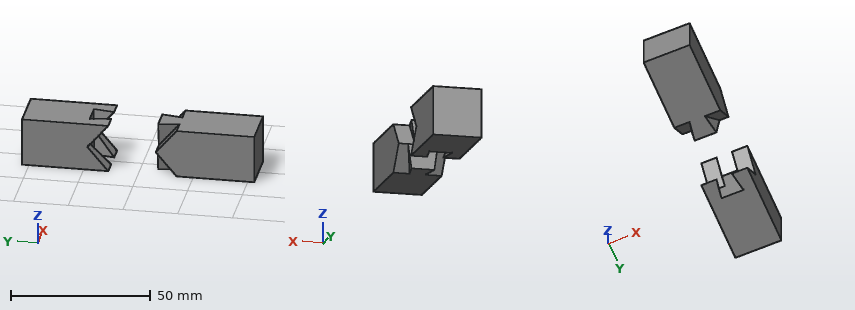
import cadquery as cq

side = 18.0
total_length = 84.9
tenon_length = 36.0
gap = 17.3
head_depth = 7.65
neck_width = 5.95
tail_width = 8.5

lower_ridge_width = 2 * tail_width - neck_width

half_side = side / 2
back_y = -total_length / 2
front_y = total_length / 2
tip_y = back_y + tenon_length
mouth_y = tip_y + gap
socket_end_y = mouth_y + head_depth


def pointed_block(start_y, end_y):
    """Square bar whose +Y end is a horizontal ridge at mid height."""
    shoulder_y = end_y - head_depth
    outline = [
        (start_y, -half_side),
        (shoulder_y, -half_side),
        (end_y, 0),
        (shoulder_y, half_side),
        (start_y, half_side),
    ]
    return cq.Workplane("YZ").polyline(outline).close().extrude(half_side, both=True)


def dovetail_wedge(end_y, outer_z, ridge_width):
    """Wedge from a slope of the point out to outer_z, ridge_width wide where it meets the ridge."""
    root_y = end_y - head_depth
    flanks = []
    for sign in (-1, 1):
        corners = [
            cq.Vector(sign * neck_width / 2, root_y, outer_z),
            cq.Vector(sign * tail_width / 2, end_y, outer_z),
            cq.Vector(sign * ridge_width / 2, end_y, 0),
        ]
        flanks.append(cq.Wire.makePolygon(corners, close=True))
    return cq.Workplane(cq.Solid.makeLoft(flanks, True))


def joint_block(start_y, end_y):
    """Pointed bar with dovetail wedges above and below its ridge, both narrowing downwards."""
    upper_wedge = dovetail_wedge(end_y, half_side, neck_width)
    lower_wedge = dovetail_wedge(end_y, -half_side, lower_ridge_width)
    return pointed_block(start_y, end_y).union(upper_wedge).union(lower_wedge)


def make_tenon():
    return joint_block(back_y, tip_y)


def make_socket():
    """Plain bar with the exact shape of the tenon head cut into its -Y end."""
    length = front_y - mouth_y
    bar = cq.Workplane("XY").box(side, length, side).translate((0, mouth_y + length / 2, 0))
    return bar.cut(joint_block(mouth_y - head_depth, socket_end_y))


tenon = make_tenon()
socket = make_socket()

result = cq.Compound.makeCompound([tenon.val(), socket.val()])